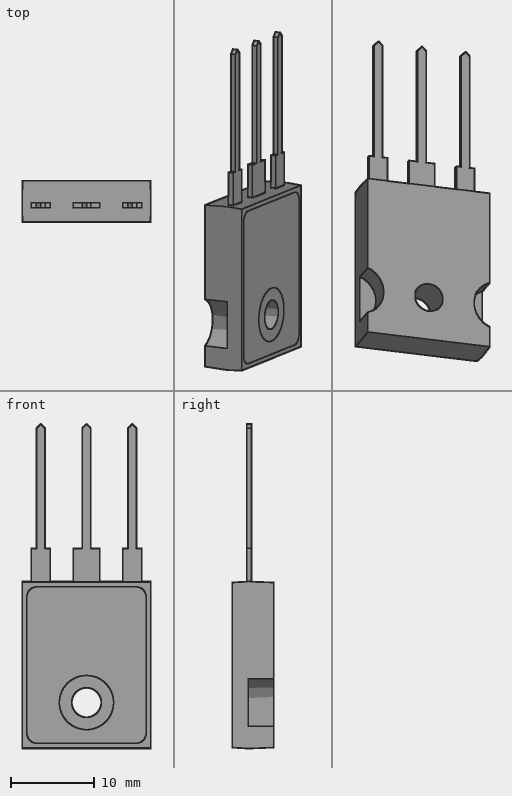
import cadquery as cq


width = 15.5
depth = 5.0
height = 20.1
parting_y = 1.95
end_draft = 0.1
side_draft = 0.05

hole_z = 5.55
hole_diameter = 3.5
collar_diameter = 6.5
notch_radius = 3.05
notch_depth = 2.03

plate_width = 14.3
plate_height = 18.75
plate_thickness = 0.78
plate_corner_radius = 1.17

total_height = 39.0
lead_pitch = 5.5
lead_thickness = 0.62
lead_y = 2.03
shaft_width = 1.05
shoulder_top = 24.05
outer_shoulder_width = 2.3
middle_shoulder_width = 3.25
tip_height = 0.5


def cylinder_along_y(x, z, radius, start_y, end_y):
    """Cylinder parallel to Y between two Y positions."""
    return cq.Workplane("XZ", origin=(x, start_y, z)).circle(radius).extrude(start_y - end_y)


def make_plate():
    """Rounded plate with a clearance hole for the housing collar."""
    plate = (
        cq.Workplane("XY")
        .box(plate_width, plate_thickness, plate_height, centered=(True, False, True))
        .translate((0, 0, height / 2))
        .edges("|Y")
        .fillet(plate_corner_radius)
    )
    return plate.cut(cylinder_along_y(0, hole_z, collar_diameter / 2, 0, plate_thickness))


def make_lead(x, shoulder_width):
    """Flat lead with a wide shoulder, a slim shaft and a pointed tip."""
    shoulder_left = x - shoulder_width / 2
    shoulder_right = x + shoulder_width / 2
    shaft_left = x - shaft_width / 2
    shaft_right = x + shaft_width / 2
    foot_z = height - end_draft
    tip_base = total_height - tip_height
    outline = [
        (shoulder_left, foot_z),
        (shoulder_right, foot_z),
        (shoulder_right, shoulder_top),
        (shaft_right, shoulder_top),
        (shaft_right, tip_base),
        (x, total_height),
        (shaft_left, tip_base),
        (shaft_left, shoulder_top),
        (shoulder_left, shoulder_top),
    ]
    back_y = lead_y + lead_thickness / 2
    return cq.Workplane("XZ", origin=(0, back_y, 0)).polyline(outline).close().extrude(lead_thickness)


def drafted_half(face_y):
    """Half of the block, tapering from the parting plane to the face at face_y."""
    return (
        cq.Workplane("XZ", origin=(0, parting_y, height / 2))
        .rect(width, height)
        .workplane(offset=parting_y - face_y)
        .rect(width - 2 * side_draft, height - 2 * end_draft)
        .loft(ruled=True)
    )


def make_housing(plate, leads):
    """Block drafted from the parting plane, with notches, a hole and seats for the other bodies."""
    housing = drafted_half(0).union(drafted_half(depth))

    notch_axis_x = width / 2 - notch_depth + notch_radius
    for side in (-1, 1):
        notch = cylinder_along_y(side * notch_axis_x, hole_z, notch_radius, parting_y, depth)
        housing = housing.cut(notch)

    housing = housing.cut(cylinder_along_y(0, hole_z, hole_diameter / 2, 0, depth))
    for insert in [plate, *leads]:
        housing = housing.cut(insert)
    return housing


plate = make_plate()

leads = []
for position in (-1, 0, 1):
    shoulder_width = outer_shoulder_width if position else middle_shoulder_width
    leads.append(make_lead(position * lead_pitch, shoulder_width))

housing = make_housing(plate, leads)

result = cq.Compound.makeCompound([housing.val(), plate.val(), *[lead.val() for lead in leads]])